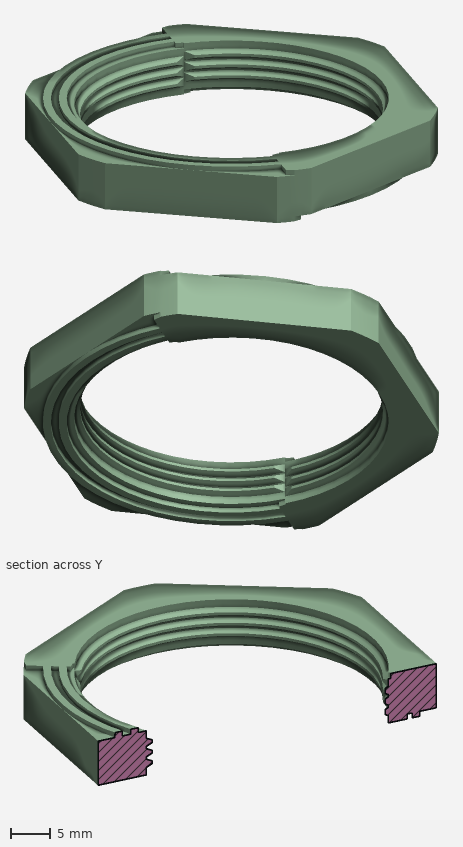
import cadquery as cq
import math

across_flats = 48.0
corner_diameter = 53.0
thickness = 7.0

parting_angle = -30.0
step = 0.7
half_thickness = thickness - step

rib_width = 1.0
outer_rib_radius = across_flats / 2
inner_rib_radius = outer_rib_radius - 2 * rib_width

tongue_reach = 1.0
tongue_root_inner, tongue_root_outer = 20.25, 26.45
tongue_tip_inner, tongue_tip_outer = 20.45, 26.1

root_radius = 20.0
crest_radius = 19.3
pitch = 1.5
crest_count = 3
flank_angle = 30
crest_flat = pitch / 4
flank_height = (root_radius - crest_radius) * math.tan(math.radians(flank_angle))

notch_half_width = 1.1

cut_clearance = 0.55


def other_half(shape):
    """Turn a shape half a turn about the parting line at mid thickness."""
    middle = thickness / 2
    return shape.rotate((0, 0, middle), (1, 0, middle), 180)


def ring(outer_radius, width, base, height):
    plane = cq.Workplane("XY").workplane(offset=base)
    return plane.circle(outer_radius).circle(outer_radius - width).extrude(height)


def make_body():
    corner_to_corner = across_flats / math.cos(math.radians(30))
    hexagon = cq.Workplane("XY").polygon(6, corner_to_corner).extrude(thickness)
    turned = cq.Workplane("XY").circle(corner_diameter / 2).extrude(thickness)
    return hexagon.intersect(turned)


def make_step():
    """Material removed above the stepped face, on the -Y side of the parting line."""
    height = step + cut_clearance
    face = cq.Workplane("XY").workplane(offset=half_thickness)
    cut = face.center(0, -corner_diameter / 2).rect(2 * corner_diameter, corner_diameter).extrude(height)
    for radius in (outer_rib_radius, inner_rib_radius):
        cut = cut.cut(ring(radius, rib_width, half_thickness, height))
    for side in (-1, 1):
        outline = [
            (side * tongue_root_inner, 0),
            (side * tongue_tip_inner, -tongue_reach),
            (side * tongue_tip_outer, -tongue_reach),
            (side * tongue_root_outer, 0),
        ]
        cut = cut.cut(face.polyline(outline).close().extrude(height))
    return cut


def make_half_bore():
    """Threaded bore of the +Y half, whose faces lie at z = step and z = thickness."""
    middle = (step + thickness) / 2
    outline = [(0, step), (root_radius, step)]
    for index in range(crest_count):
        crest_z = middle + (index - (crest_count - 1) / 2) * pitch
        outline += [
            (root_radius, crest_z - crest_flat / 2 - flank_height),
            (crest_radius, crest_z - crest_flat / 2),
            (crest_radius, crest_z + crest_flat / 2),
            (root_radius, crest_z + crest_flat / 2 + flank_height),
        ]
    outline += [(root_radius, thickness), (0, thickness)]
    return cq.Workplane("XZ").polyline(outline).close().revolve(180, (0, 0), (0, 1))


def make_notch(side):
    """Wedge with its point at the thread root and its full width at the thread crest."""
    depth = root_radius - crest_radius
    outline = [
        (side * root_radius, 0),
        (side * (root_radius - 2 * depth), 2 * notch_half_width),
        (side * (root_radius - 2 * depth), -2 * notch_half_width),
    ]
    return cq.Workplane("XY").polyline(outline).close().extrude(thickness)


nut = make_body()
for cutter in (make_step(), make_half_bore()):
    nut = nut.cut(cutter).cut(other_half(cutter))
for side in (-1, 1):
    nut = nut.cut(make_notch(side))

result = nut.rotate((0, 0, 0), (0, 0, 1), parting_angle)